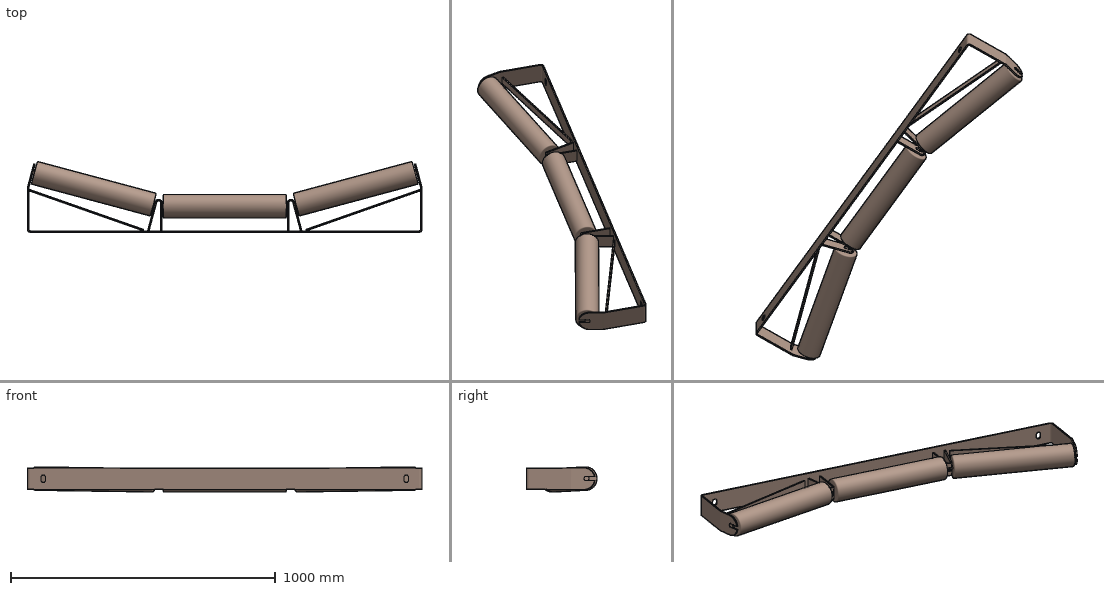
import cadquery as cq
import math

sheet = 5.7
inner_bend = sheet
outer_bend = inner_bend + sheet

frame_length = 1490.0
frame_width = 80.0
arm_bend_y = 170.0
tip_blank_y = 298.0
tip_radius = frame_width / 2
tip_drop = 7.0
mount_slot_x = 685.0
mount_slot_width = 18.0
mount_slot_height = 27.0

roller_radius = 45.0
roller_length = 465.0
rim_fillet = 5.0
shaft_radius = 10.0
shaft_flat_width = 14.0
end_gap = 5.0
roller_drop = 6.0
middle_axis_y = 98.0
side_end_x = 270.0
side_end_y = 105.0
trough_angle = 15.0
side_rise_angle = 0.8

bracket_top = 124.0
bracket_width = 50.0

brace_angle = 19.3
brace_start_x = 308.0
brace_width = 30.0

cutter_length = 298.0
cutter_depth = 45.0

half_frame = frame_length / 2
lean = math.radians(trough_angle)
rise = math.radians(side_rise_angle)
lean_sin, lean_cos, lean_tan = math.sin(lean), math.cos(lean), math.tan(lean)

middle_plane = cq.Plane(
    origin=(0, middle_axis_y, -roller_drop), xDir=(0, 1, 0), normal=(1, 0, 0)
)
side_plane = cq.Plane(
    origin=(side_end_x, side_end_y, -roller_drop),
    xDir=(-lean_sin, lean_cos, 0),
    normal=(lean_cos * math.cos(rise), lean_sin * math.cos(rise), math.sin(rise)),
)

tip_reach = (half_frame - side_end_x) * lean_cos + (arm_bend_y - side_end_y) * lean_sin


def mirrored(body):
    return body.mirror("YZ")


def plate(points, width, middle_z=0.0):
    """Side outline of a bent plate, extruded to the plate's width along Z."""
    return (
        cq.Workplane("XY").workplane(offset=middle_z)
        .polyline(points).close().extrude(width / 2, both=True)
    )


def round_bends(body, inner_points, outer_points, middle_z=0.0):
    """Round the Z edges that stand at the corners of a bent plate."""
    for points, radius in ((inner_points, inner_bend), (outer_points, outer_bend)):
        for x, y in points:
            corner = cq.selectors.NearestToPointSelector((x, y, middle_z))
            body = body.edges(corner).fillet(radius)
    return body


def flatted_shaft(plane, start, length):
    """Round shaft with two flats facing +Z and -Z."""
    section = cq.Workplane(plane).workplane(offset=start)
    flats = section.rect(2 * shaft_radius, shaft_flat_width).extrude(length)
    return section.circle(shaft_radius).extrude(length).intersect(flats)


def shaft_slot(plane, start, length):
    """Seat that fits the flatted shaft, open on the side away from the back strip."""
    opening = (
        cq.Workplane(plane).workplane(offset=start)
        .center(cutter_length / 2, 0).rect(cutter_length, shaft_flat_width).extrude(length)
    )
    return flatted_shaft(plane, start, length).union(opening)



def make_tip_cutter():
    """Everything above the rounded end of the right arm tip."""
    section = cq.Workplane(cq.Plane(
        origin=(side_end_x + tip_reach * lean_cos, side_end_y + tip_reach * lean_sin, 0),
        xDir=(-lean_sin, lean_cos, 0),
        normal=(lean_cos, lean_sin, 0),
    )).center(-tip_drop, 0)
    block = (
        section.center(cutter_length / 2, 0).rect(cutter_length, cutter_length)
        .extrude(cutter_depth / 2, both=True)
    )
    return block.cut(section.circle(tip_radius).extrude(cutter_depth / 2, both=True))


def make_frame():
    inner_bend_y = arm_bend_y - sheet * math.tan(lean / 2)
    tip_outer_x = half_frame - (tip_blank_y - arm_bend_y) * lean_tan
    right_half = [
        (half_frame, 0),
        (half_frame, arm_bend_y),
        (tip_outer_x, tip_blank_y),
        (tip_outer_x - sheet / lean_cos, tip_blank_y),
        (half_frame - sheet, inner_bend_y),
        (half_frame - sheet, sheet),
    ]
    left_half = [(-x, y) for x, y in reversed(right_half)]
    frame = round_bends(
        plate(right_half + left_half, frame_width),
        [(side * (half_frame - sheet), y) for side in (-1, 1) for y in (sheet, inner_bend_y)],
        [(side * half_frame, y) for side in (-1, 1) for y in (0, arm_bend_y)],
    )

    for cutter in (make_tip_cutter(), shaft_slot(side_plane, roller_length, cutter_depth)):
        frame = frame.cut(cutter).cut(mirrored(cutter))

    mount_slots = (
        cq.Workplane("XZ").pushPoints([(-mount_slot_x, 0), (mount_slot_x, 0)])
        .slot2D(mount_slot_height, mount_slot_width, 90).extrude(-sheet)
    )
    return frame.cut(mount_slots)



def leaning_face_x(y):
    """X at height y of the bracket face that looks at the right roller's inner end."""
    return side_end_x - end_gap / lean_cos + (side_end_y - y) * lean_tan


def make_bracket():
    """Bent plate on the back strip that carries the middle and the right roller."""
    upright_x = roller_length / 2 + end_gap
    level_sheet = sheet / lean_cos
    under_top = bracket_top - sheet
    outer_corners = [(upright_x, bracket_top), (leaning_face_x(bracket_top), bracket_top)]
    inner_corners = [
        (leaning_face_x(under_top) - level_sheet, under_top),
        (upright_x + sheet, under_top),
    ]
    outline = [
        (upright_x, sheet),
        *outer_corners,
        (leaning_face_x(sheet), sheet),
        (leaning_face_x(sheet) - level_sheet, sheet),
        *inner_corners,
        (upright_x + sheet, sheet),
    ]
    bracket = plate(outline, bracket_width, -roller_drop)
    bracket = round_bends(bracket, inner_corners, outer_corners, -roller_drop)

    slot_length = end_gap + 2 * sheet
    middle_slot = shaft_slot(middle_plane, roller_length / 2, slot_length)
    side_slot = shaft_slot(side_plane, -slot_length, slot_length)
    return bracket.cut(middle_slot).cut(side_slot)



def make_brace():
    """Square-cut flat bar whose lower corners touch the back strip and the side arm."""
    run = half_frame - sheet - brace_start_x
    brace_length = run / math.cos(math.radians(brace_angle))
    bar = cq.Workplane("XY").box(brace_length, sheet, brace_width, centered=(False, False, True))
    return bar.rotate((0, 0, 0), (0, 0, 1), brace_angle).translate((brace_start_x, sheet, 0))



def make_roller(plane, barrel_start, shaft_start, shaft_end):
    barrel = (
        cq.Workplane(plane).workplane(offset=barrel_start)
        .circle(roller_radius).extrude(roller_length).edges().fillet(rim_fillet)
    )
    return barrel.union(flatted_shaft(plane, shaft_start, shaft_end - shaft_start))



shaft_overhang = end_gap + sheet
middle_shaft_end = roller_length / 2 + shaft_overhang

frame = make_frame()
middle_roller = make_roller(
    middle_plane, -roller_length / 2, -middle_shaft_end, middle_shaft_end
)
bracket = make_bracket()
brace = make_brace()
side_roller = make_roller(side_plane, 0, -shaft_overhang, tip_reach)

bodies = [frame.solids().val(), middle_roller.solids().val()]
for body in (bracket, brace, side_roller):
    for copy in (body, mirrored(body)):
        bodies.append(copy.solids().val())

result = cq.Compound.makeCompound(bodies)